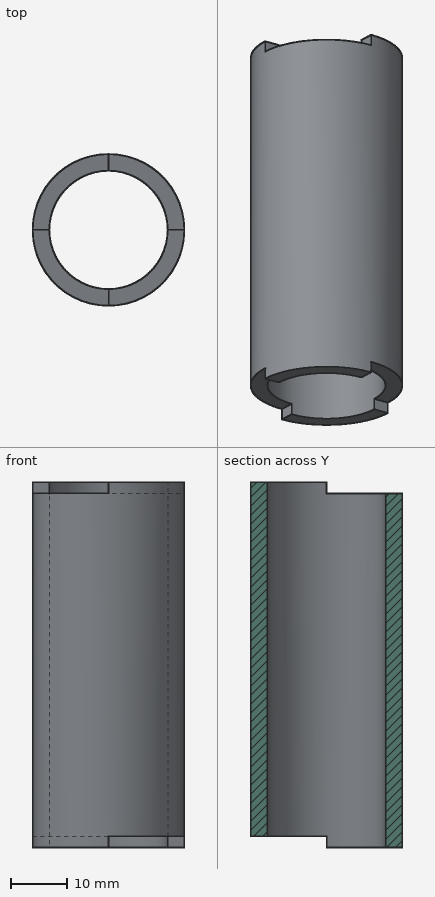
import cadquery as cq

OUTER_DIAMETER = 27.0
BORE_DIAMETER = 21.0
TOTAL_LENGTH = 65.0
NOTCH_DEPTH = 2.0

OUTER_RADIUS = OUTER_DIAMETER / 2
BORE_RADIUS = BORE_DIAMETER / 2


def make_tube():
    """Plain tube standing on the XY plane, centred on Z."""
    return (
        cq.Workplane("XY")
        .circle(OUTER_RADIUS)
        .circle(BORE_RADIUS)
        .extrude(TOTAL_LENGTH)
    )


def quadrant_block(x_sign, y_sign, base_z):
    """Block covering one quadrant of the tube end, as deep as a notch."""
    return (
        cq.Workplane("XY", origin=(0, 0, base_z))
        .center(x_sign * OUTER_RADIUS / 2, y_sign * OUTER_RADIUS / 2)
        .rect(OUTER_RADIUS, OUTER_RADIUS)
        .extrude(NOTCH_DEPTH)
    )


def cut_end_notches(tube):
    """Notch two opposite quadrants at each end, the ends a quarter turn apart."""
    for side in (-1, 1):
        tube = tube.cut(quadrant_block(side, side, TOTAL_LENGTH - NOTCH_DEPTH))
        tube = tube.cut(quadrant_block(side, -side, 0))
    return tube


result = cut_end_notches(make_tube())